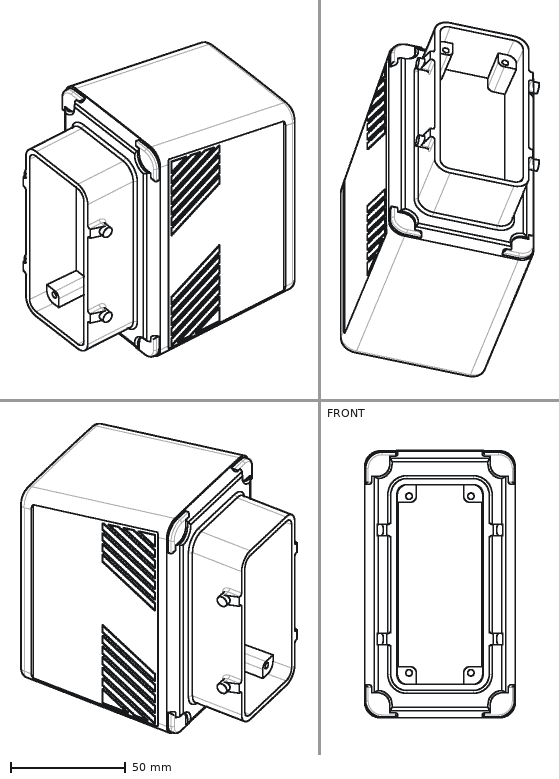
import cadquery as cq
import math


WIDTH = 66.01
TOTAL_DEPTH = 108.97
TOTAL_HEIGHT = 117.26
CROWN = 0.45
SIDE_HEIGHT = TOTAL_HEIGHT - CROWN
MID_Z = SIDE_HEIGHT / 2
HOUSING_Y = 31.7
ROOF_SLOPE = 10.0
CORNER_R = 7.0
BACK_R = 3.0

COLLAR_Y = 27.6
COLLAR_WIDTH = 57.4
COLLAR_HEIGHT = 110.7
PLATE_Y = 26.9
PLATE_WIDTH = 54.0
PLATE_HEIGHT = 107.4
COLLAR_CORNER_R = 6.0

PAD_Y = 28.8
PAD_LENGTH = 14.5
PAD_INSET = 0.45
PAD_EDGE_R = 1.0
PAD_END_R = 1.2
SEAT_SIZE = 11.0
SEAT_R = 5.3
SEAT_RIM = 1.0

PANEL_DEPTH = 0.4
PANEL_FRONT = 36.0
PANEL_BACK = 102.2
PANEL_BEVEL = 0.7
STRIPE_FRONT = 38.0
STRIPE_BACK = 65.2
STRIPE_ANGLE = 30.0
STRIPE_HEIGHT = 3.85
STRIPE_PITCH = 5.85
WEDGE_HEIGHT = 10.0
STRIPE_BASE_Z = 5.9
STRIPE_ROOF_GAP = 6.2
UPPER_STRIPES = 6
LOWER_STRIPES = 6
UPPER_STRIPE_Z = 83.7
LOWER_STRIPE_Z = 15.6

SHROUD_WIDTH = 43.1
SHROUD_HEIGHT = 92.8
SHROUD_R = 7.0
ROOT_CHAMFER = 1.3
CAVITY_WIDTH = 37.8
CAVITY_FLOOR_WIDTH = 36.4
CAVITY_HEIGHT = 87.5
CAVITY_R = 4.3
FLOOR_Y = 25.8

BOSS_FRONT_Y = 9.5
BOSS_WIDTH = 8.5
BOSS_HEIGHT = 7.7
BOSS_R = 2.6
SCREW_D = 2.8
SCREW_DEPTH = 12.0
SCREW_X = 27.1 / 2
SCREW_Z = 77.4 / 2

PEG_D = 5.0
PEG_TIP_X = 27.45
PEG_Y = 6.45
PEG_Z = 23.9
RAMP_TOP_X = 25.7
RAMP_RIM_X = 23.4
PEG_ROOT_R = 1.2

SIGNS = (-1, 1)
PICK = 0.1
OVERLAP = 1.0


def plane_at(y):
    """XZ sketch plane at depth y, centred on the part, extruding towards +Y."""
    return cq.Plane(origin=(0, y, MID_Z), xDir=(-1, 0, 0), normal=(0, 1, 0))


def rounded_block(width, height, radius, y_start, y_end):
    prism = cq.Workplane(plane_at(y_start)).rect(width, height).extrude(y_end - y_start)
    return prism.edges("|Y").fillet(radius)


def block(x_range, y_range, z_range):
    """Box between pairs of opposite coordinates, given in any order."""
    lows = [min(pair) for pair in (x_range, y_range, z_range)]
    sizes = [abs(pair[1] - pair[0]) for pair in (x_range, y_range, z_range)]
    return cq.Workplane("XY").box(*sizes, centered=False).translate(tuple(lows))


def roof_z(y):
    return SIDE_HEIGHT - (y - HOUSING_Y) * math.tan(math.radians(ROOF_SLOPE))


def housing():
    """Box with a sloping, slightly arched roof and rounded edges."""
    half = WIDTH / 2
    walls = block((-half, half), (HOUSING_Y, TOTAL_DEPTH), (0, TOTAL_HEIGHT))
    slope = math.radians(ROOF_SLOPE)
    roof_plane = cq.Plane(
        origin=(0, HOUSING_Y, SIDE_HEIGHT),
        xDir=(-1, 0, 0),
        normal=(0, math.cos(slope), -math.sin(slope)),
    )
    roof_prism = (
        cq.Workplane(roof_plane)
        .workplane(offset=-SIDE_HEIGHT)
        .moveTo(-half, 0)
        .threePointArc((0, CROWN), (half, 0))
        .lineTo(half, -2 * SIDE_HEIGHT)
        .lineTo(-half, -2 * SIDE_HEIGHT)
        .close()
        .extrude(2 * TOTAL_DEPTH + SIDE_HEIGHT)
    )
    body = walls.intersect(roof_prism)
    long_edges = body.edges(cq.selectors.BoxSelector(
        (-WIDTH, HOUSING_Y + BACK_R, -OVERLAP),
        (WIDTH, TOTAL_DEPTH - BACK_R, TOTAL_HEIGHT + OVERLAP),
    )).edges("not |X")
    body = long_edges.fillet(CORNER_R)
    return body.faces(">Y").edges().fillet(BACK_R)


def frustum(wide, narrow):
    """Loft between two rounded rectangles, each (width, height, radius, y)."""
    wires = []
    for width, height, radius, y in (wide, narrow):
        slice_block = rounded_block(width, height, radius, y, y + OVERLAP)
        wires.append(slice_block.faces("<Y").wires().val())
    return cq.Workplane(cq.Solid.makeLoft(wires, True))


def collar():
    base = (WIDTH, SIDE_HEIGHT, CORNER_R, HOUSING_Y)
    shoulder = (COLLAR_WIDTH, COLLAR_HEIGHT, COLLAR_CORNER_R, COLLAR_Y)
    plate = (PLATE_WIDTH, PLATE_HEIGHT, COLLAR_CORNER_R, PLATE_Y)
    return frustum(base, shoulder).union(frustum(shoulder, plate))


def corner_block(x_sign, z_sign, size, y_start, y_end):
    """Square block whose outer corner lies just outside one corner of the collar."""
    x_edge = x_sign * WIDTH / 2
    z_edge = MID_Z + z_sign * SIDE_HEIGHT / 2
    return block(
        (x_edge - x_sign * size, x_edge + x_sign * OVERLAP),
        (y_start, y_end),
        (z_edge - z_sign * size, z_edge + z_sign * OVERLAP),
    )


def facing(axis, sign):
    """Selector for the face looking towards the middle from the given side."""
    return ("<" if sign > 0 else ">") + axis


def screw_seat(x_sign, z_sign):
    """Corner pocket with a rounded inner corner and a bevelled rim."""
    def pocket(margin, y_end):
        shape = corner_block(x_sign, z_sign, SEAT_SIZE + margin, PLATE_Y - OVERLAP, y_end)
        inner_faces = shape.faces(facing("X", x_sign))
        return inner_faces.edges(facing("Z", z_sign)).fillet(SEAT_R + margin)

    rim = pocket(SEAT_RIM, PLATE_Y + SEAT_RIM).faces(">Y").edges().chamfer(SEAT_RIM)
    return pocket(0, PAD_Y).union(rim)


def with_screw_pads(body):
    slab = rounded_block(
        WIDTH - 2 * PAD_INSET, SIDE_HEIGHT - 2 * PAD_INSET, CORNER_R, PAD_Y, HOUSING_Y + OVERLAP
    )
    slab = slab.faces("<Y").edges().fillet(PAD_EDGE_R)
    for x_sign in SIGNS:
        for z_sign in SIGNS:
            inner_x = facing("X", x_sign)
            inner_z = facing("Z", z_sign)
            limits = corner_block(x_sign, z_sign, PAD_LENGTH, PAD_Y, HOUSING_Y + OVERLAP)
            limits = limits.faces("<Y").edges(inner_x + " or " + inner_z).fillet(PAD_END_R)
            body = body.cut(screw_seat(x_sign, z_sign)).union(slab.intersect(limits))
    return body


def side_recess():
    """Bevel-ended slab that sinks the -X wall by the panel depth."""
    wall_x = -WIDTH / 2
    floor_x = wall_x + PANEL_DEPTH
    return (
        cq.Workplane("XY")
        .polyline([
            (wall_x, PANEL_FRONT),
            (floor_x, PANEL_FRONT + PANEL_BEVEL),
            (floor_x, PANEL_BACK - PANEL_BEVEL),
            (wall_x, PANEL_BACK),
            (wall_x - OVERLAP, PANEL_BACK),
            (wall_x - OVERLAP, PANEL_FRONT),
        ])
        .close()
        .extrude(TOTAL_HEIGHT)
    )


def raised_shape(points):
    """Flat shape given by (y, z) points, standing on the floor of the -X recess."""
    start = -WIDTH / 2
    reach = PANEL_DEPTH + OVERLAP
    return cq.Workplane("YZ").workplane(offset=start).polyline(points).close().extrude(reach)


def side_stripes():
    drop = math.tan(math.radians(STRIPE_ANGLE))
    run = (STRIPE_BACK - STRIPE_FRONT) * drop
    field = raised_shape([
        (STRIPE_FRONT, STRIPE_BASE_Z),
        (STRIPE_BACK, STRIPE_BASE_Z),
        (STRIPE_BACK, roof_z(STRIPE_BACK) - STRIPE_ROOF_GAP),
        (STRIPE_FRONT, roof_z(STRIPE_FRONT) - STRIPE_ROOF_GAP),
    ])
    gap = STRIPE_PITCH - STRIPE_HEIGHT
    bottom_wedge = LOWER_STRIPE_Z - gap - WEDGE_HEIGHT
    top_wedge = UPPER_STRIPE_Z + UPPER_STRIPES * STRIPE_PITCH
    bands = [(bottom_wedge, WEDGE_HEIGHT), (top_wedge, WEDGE_HEIGHT)]
    bands += [(UPPER_STRIPE_Z + i * STRIPE_PITCH, STRIPE_HEIGHT) for i in range(UPPER_STRIPES)]
    bands += [(LOWER_STRIPE_Z + i * STRIPE_PITCH, STRIPE_HEIGHT) for i in range(LOWER_STRIPES)]
    stripes = cq.Workplane("YZ")
    for z, height in bands:
        stripes = stripes.add(raised_shape([
            (STRIPE_BACK, z),
            (STRIPE_BACK, z + height),
            (STRIPE_FRONT, z + height - run),
            (STRIPE_FRONT, z - run),
        ]))
    stripes = stripes.combine()
    return stripes.intersect(field)


def with_side_panels(body):
    recess = side_recess()
    stripes = side_stripes()
    body = body.cut(recess).cut(recess.mirror("YZ"))
    return body.union(stripes).union(stripes.mirror("YZ"))


def shroud():
    shell = rounded_block(SHROUD_WIDTH, SHROUD_HEIGHT, SHROUD_R, 0, HOUSING_Y)
    root = rounded_block(
        SHROUD_WIDTH + 2 * ROOT_CHAMFER,
        SHROUD_HEIGHT + 2 * ROOT_CHAMFER,
        SHROUD_R + ROOT_CHAMFER,
        PLATE_Y - ROOT_CHAMFER,
        HOUSING_Y,
    )
    root = root.faces("<Y").edges().chamfer(ROOT_CHAMFER)
    return shell.union(root)


def peg(x_sign, z):
    """Round peg with a ramp that leads onto it from the plug rim."""
    pin = (
        cq.Workplane("YZ")
        .center(PEG_Y, z)
        .circle(PEG_D / 2)
        .extrude(PEG_TIP_X)
    )
    ramp = (
        cq.Workplane("XY")
        .workplane(offset=z - PEG_D / 2)
        .polyline([(0, 0), (RAMP_RIM_X, 0), (RAMP_TOP_X, PEG_Y), (0, PEG_Y)])
        .close()
        .extrude(PEG_D)
    )
    solid = pin.union(ramp)
    return solid if x_sign > 0 else solid.mirror("YZ")


def with_pegs(body):
    """Add the four pegs and blend their roots into the side walls."""
    wall_x = SHROUD_WIDTH / 2
    for x_sign in SIGNS:
        for z_sign in SIGNS:
            z = MID_Z + z_sign * PEG_Z
            body = body.union(peg(x_sign, z))
            root = cq.selectors.BoxSelector(
                (x_sign * wall_x - PICK, PICK, z - PEG_D),
                (x_sign * wall_x + PICK, PEG_Y + PEG_D, z + PEG_D),
            )
            body = body.edges(root).fillet(PEG_ROOT_R)
    return body


def cavity():
    """Socket whose side walls lean inwards towards the floor."""
    half_rim = CAVITY_WIDTH / 2
    half_floor = CAVITY_FLOOR_WIDTH / 2
    socket = (
        cq.Workplane("XY")
        .workplane(offset=MID_Z - CAVITY_HEIGHT / 2)
        .polyline([(-half_rim, 0), (half_rim, 0), (half_floor, FLOOR_Y), (-half_floor, FLOOR_Y)])
        .close()
        .extrude(CAVITY_HEIGHT)
    )
    return socket.edges("not(|X or |Z)").fillet(CAVITY_R)


def boss(x_sign, z_sign):
    """Corner post, rounded along its inner edge."""
    x_edge = x_sign * CAVITY_WIDTH / 2
    z_edge = MID_Z + z_sign * CAVITY_HEIGHT / 2
    post = block(
        (x_edge - x_sign * BOSS_WIDTH, x_edge),
        (BOSS_FRONT_Y, FLOOR_Y),
        (z_edge - z_sign * BOSS_HEIGHT, z_edge),
    )
    return post.faces(facing("X", x_sign)).edges(facing("Z", z_sign)).fillet(BOSS_R)


def screw_hole(x_sign, z_sign):
    return (
        cq.Workplane(plane_at(BOSS_FRONT_Y))
        .center(-x_sign * SCREW_X, z_sign * SCREW_Z)
        .circle(SCREW_D / 2)
        .extrude(SCREW_DEPTH)
    )


def socket_space():
    """Empty space inside the shroud, left open around the corner bosses."""
    space = cavity()
    for x_sign in SIGNS:
        for z_sign in SIGNS:
            space = space.cut(boss(x_sign, z_sign))
            space = space.union(screw_hole(x_sign, z_sign))
    return space


result = housing().union(collar())
result = with_screw_pads(result)
result = with_side_panels(result)
result = result.union(with_pegs(shroud()))
result = result.cut(socket_space())